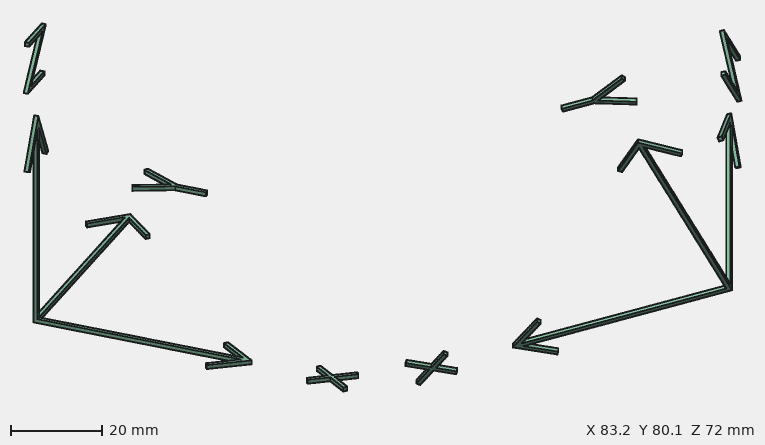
import cadquery as cq
import math

BAR = 1.0
HALF_BAR = BAR / 2

X_TIP = 51.4
X_BARB_SETBACK = 8.2
X_BARB_SPREAD = 5.9
Y_TIP = 53.0
Y_BARB_SETBACK = 7.1
Y_BARB_SPREAD = 7.65
Z_TIP = 50.7
Z_BARB_SETBACK = 11.3
Z_BARB_SPREAD = 5.6

OVERALL_X = 83.2
X_LETTER_ANGLE = math.radians(36.1)
X_LETTER_CROSSING = 70.4
X_LETTER_LEFT = 66.0
X_LETTER_RIGHT = OVERALL_X - Y_BARB_SPREAD - HALF_BAR * math.sin(X_LETTER_ANGLE)
X_LETTER_LEFT_RISE = (X_LETTER_CROSSING - X_LETTER_LEFT) * math.tan(X_LETTER_ANGLE)
X_LETTER_RIGHT_RISE = (X_LETTER_RIGHT - X_LETTER_CROSSING) * math.tan(X_LETTER_ANGLE)

Y_FORK = (3.9, 69.3)
Y_STEM_END = (11.3, Y_FORK[1])
Y_ARM_ENDS = [(-5.0, 73.7), (-4.7, 65.3)]

Z_TOP = 71.45
Z_BOTTOM = 59.1
Z_TOP_CORNER_Y = 4.3
Z_TOP_END_Y = -5.2
Z_BOTTOM_CORNER_Y = -6.0
Z_BOTTOM_END_Y = 3.5
Z_DIAGONAL_WIDTH = 1.25


def plate(plane, points):
    """Closed outline extruded to one bar thickness, centred on the plane."""
    return cq.Workplane(plane).polyline(points).close().extrude(HALF_BAR, both=True)


def stroke(start, end):
    """Square bar in the XY plane with square ends at the two points."""
    run = end[0] - start[0]
    rise = end[1] - start[1]
    length = math.hypot(run, rise)
    angle = math.degrees(math.atan2(rise, run))
    middle = ((start[0] + end[0]) / 2, (start[1] + end[1]) / 2, 0)
    bar = cq.Workplane("XY").box(length, BAR, BAR)
    return bar.rotate((0, 0, 0), (0, 0, 1), angle).translate(middle)


def arrow(plane, tip, setback, spread):
    """Arrow along the plane's local x direction, with a chevron head."""
    angle = math.atan2(spread, setback)
    inner_apex = tip - BAR / math.sin(angle)
    outer_x = tip - setback
    inner_x = outer_x - BAR * math.sin(angle)
    inner_spread = spread - BAR * math.cos(angle)
    head = plate(plane, [
        (tip, 0),
        (outer_x, spread),
        (inner_x, inner_spread),
        (inner_apex, 0),
        (inner_x, -inner_spread),
        (outer_x, -spread),
    ])
    shaft = plate(plane, [
        (-HALF_BAR, -HALF_BAR),
        (inner_apex, -HALF_BAR),
        (inner_apex, HALF_BAR),
        (-HALF_BAR, HALF_BAR),
    ])
    return head.union(shaft)


def make_axes():
    """Three arrows sharing one corner block at the origin."""
    x_plane = cq.Plane.XY()
    y_plane = cq.Plane(origin=(0, 0, 0), xDir=(0, 1, 0), normal=(0, 0, 1))
    z_plane = cq.Plane(origin=(0, 0, 0), xDir=(0, 0, 1), normal=(1, 0, 0))
    x_arrow = arrow(x_plane, X_TIP, X_BARB_SETBACK, X_BARB_SPREAD)
    y_arrow = arrow(y_plane, Y_TIP, Y_BARB_SETBACK, Y_BARB_SPREAD)
    z_arrow = arrow(z_plane, Z_TIP, Z_BARB_SETBACK, Z_BARB_SPREAD)
    return x_arrow.union(y_arrow).union(z_arrow)


def make_letter_x():
    falling = stroke((X_LETTER_LEFT, X_LETTER_LEFT_RISE), (X_LETTER_RIGHT, -X_LETTER_RIGHT_RISE))
    rising = stroke((X_LETTER_LEFT, -X_LETTER_LEFT_RISE), (X_LETTER_RIGHT, X_LETTER_RIGHT_RISE))
    return falling.union(rising)


def make_letter_y():
    letter = stroke(Y_FORK, Y_STEM_END)
    for arm_end in Y_ARM_ENDS:
        letter = letter.union(stroke(arm_end, Y_FORK))
    return letter


def make_letter_z():
    run = Z_TOP_CORNER_Y - Z_BOTTOM_CORNER_Y - Z_DIAGONAL_WIDTH
    slope = run / (Z_TOP - Z_BOTTOM)
    corner_shift = BAR * slope
    return plate("YZ", [
        (Z_TOP_CORNER_Y, Z_TOP),
        (Z_TOP_END_Y, Z_TOP),
        (Z_TOP_END_Y, Z_TOP - BAR),
        (Z_TOP_CORNER_Y - Z_DIAGONAL_WIDTH - corner_shift, Z_TOP - BAR),
        (Z_BOTTOM_CORNER_Y, Z_BOTTOM),
        (Z_BOTTOM_END_Y, Z_BOTTOM),
        (Z_BOTTOM_END_Y, Z_BOTTOM + BAR),
        (Z_BOTTOM_CORNER_Y + Z_DIAGONAL_WIDTH + corner_shift, Z_BOTTOM + BAR),
    ])


axes = make_axes()
letter_x = make_letter_x()
letter_y = make_letter_y()
letter_z = make_letter_z()

result = cq.Compound.makeCompound([axes.val(), letter_x.val(), letter_y.val(), letter_z.val()])